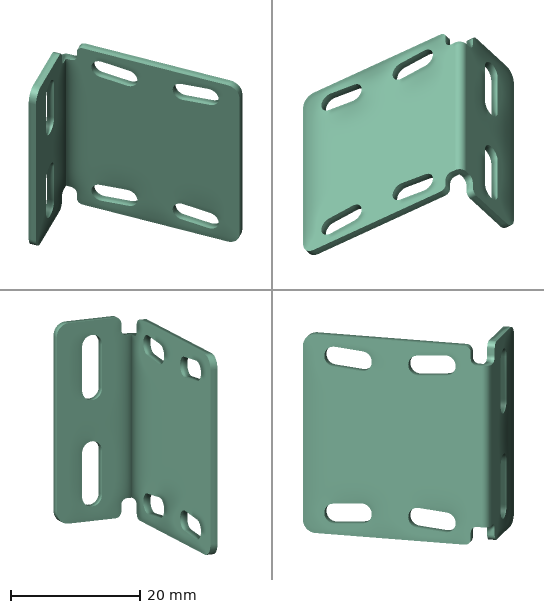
import cadquery as cq

plate_length = 30.0
leg_length = 14.0
height = 32
thickness = 1.2
half_height = height / 2

bend_radius = thickness
corner_radius = 2.0
relief_depth = 3.0
relief_height = 3.0
relief_radius = 1.0

leg_slot_length = 10.4
leg_slot_width = 3.4
leg_slot_from_bend = 8
leg_slot_height = 8.48

plate_slot_length = 7.65
plate_slot_width = 3.2
plate_slot_center = 16
plate_slot_offset = 6.75
plate_slot_height = 12.45
plate_slot_tilt = 5


def make_wing(plane, length, direction):
    """Flat wing running away from the bend, narrowed at the bend by the relief notches."""
    neck_half_height = half_height - relief_height
    wing = (
        cq.Workplane(plane)
        .polyline([
            (0, -neck_half_height),
            (relief_depth, -neck_half_height),
            (relief_depth, -half_height),
            (length, -half_height),
            (length, half_height),
            (relief_depth, half_height),
            (relief_depth, neck_half_height),
            (0, neck_half_height),
        ])
        .close()
        .extrude(direction * thickness)
    )
    through_edges = wing.edges(cq.selectors.ParallelDirSelector(plane.zDir))
    far_edges = through_edges.edges(cq.selectors.DirectionMinMaxSelector(plane.xDir, True))
    wing = far_edges.fillet(corner_radius)
    relief_edges = wing.edges(cq.selectors.ParallelDirSelector(plane.zDir)).filter(
        lambda edge: abs(plane.toLocalCoords(edge.Center()).x - relief_depth) < relief_radius / 2
    )
    return relief_edges.fillet(relief_radius)


def cut_slot(body, plane, center, length, width, angle):
    """Cut a round-ended slot through the sheet; the angle is from the wing's long direction."""
    cutter = (
        cq.Workplane(plane)
        .center(*center)
        .slot2D(length, width, angle)
        .extrude(thickness, both=True)
    )
    return body.cut(cutter)


plate_plane = cq.Plane(origin=(0, 0, 0), xDir=(1, 0, 0), normal=(0, -1, 0))
leg_plane = cq.Plane(origin=(0, 0, 0), xDir=(0, -1, 0), normal=(-1, 0, 0))

plate = make_wing(plate_plane, plate_length, 1)
leg = make_wing(leg_plane, leg_length, -1)

for side in (-1, 1):
    leg = cut_slot(
        leg, leg_plane, (leg_slot_from_bend, side * leg_slot_height),
        leg_slot_length, leg_slot_width, 90,
    )
    for end in (-1, 1):
        plate = cut_slot(
            plate, plate_plane, (plate_slot_center + end * plate_slot_offset, side * plate_slot_height),
            plate_slot_length, plate_slot_width, side * end * plate_slot_tilt,
        )

result = plate.union(leg).edges(cq.NearestToPointSelector((0, 0, 0))).fillet(bend_radius)